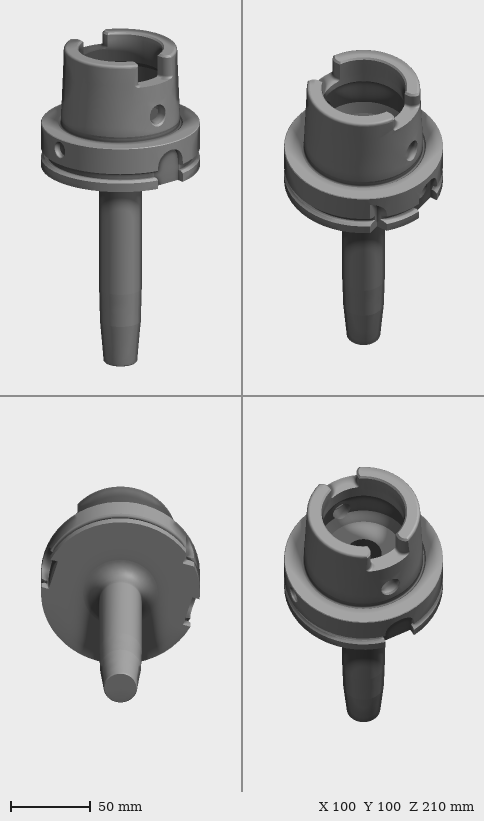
import cadquery as cq
import math


TAPER_HEIGHT = 50.0
TAPER_TOP_RADIUS = 35.7
TAPER_BASE_RADIUS = 37.5
RIM_ROUND = 1.9

RELIEF_HEIGHT = 3.1
RELIEF_DEPTH = 0.2
RELIEF_STEP = 1.3
RELIEF_FILLET = 0.8
FACE_GROOVE_RADIUS = 39.3
FACE_GROOVE_DEPTH = 0.8

FLANGE_RADIUS = 50.0
FLANGE_HEIGHT = 29.0
FLANGE_CHAMFER = 0.5
GROOVE_RADIUS = 46.0
GROOVE_LIP_RADIUS = 48.0
GROOVE_TOP = -17.0
GROOVE_BOTTOM = -23.3
GROOVE_LIP_HEIGHT = 1.3

TIP_Z = TAPER_HEIGHT - 210
NECK_RADIUS = 13.5
NECK_FILLET = 10.0
NOSE_START = TIP_Z + 49.1
NOSE_BREAK = TIP_Z + 27.5
NOSE_BREAK_DIAMETER = 25.8
TIP_DIAMETER = 21.2
TIP_CHAMFER = 0.6

BORE_RADIUS = 26.5
BORE_CHAMFER = 1.0
BORE_LIP_Z = 30.6
CLAMP_RADIUS = 30.0
FLOOR_RADIUS = 25.0
BORE_FLOOR = 5.0
TUBE_RADIUS = 11.3
TUBE_DEPTH = 20.0
CENTRE_HOLE_RADIUS = 1.7
CENTRE_HOLE_DEPTH = 10.0
CENTRE_HOLE_CHAMFER = 0.6

DRIVE_HALF_WIDTH = 9.9
DRIVE_CORNER_RADIUS = 5.7
DRIVE_SHOULDER_X = 32.7
DRIVE_FLOOR_FILLET = 1.7
DRIVE_MOUTH_CHAMFER = 1.3
DRIVE_DEPTH_LEFT = 10.0
DRIVE_DEPTH_RIGHT = 15.0

CROSS_HOLE_RADIUS = 6.3
CROSS_HOLE_Z = 14.7
CROSS_HOLE_CHAMFER = 0.8

KEY_RADIUS = 10.0
KEY_ARCH_Z = -15.0
KEY_FLOOR_X = 44.0
KEY_HOLE_RADIUS = 6.3
KEY_HOLE_DEPTH = 10.0
KEY_HOLE_POINT = 3.8
NOTCH_CENTRE_Y = 41.4
NOTCH_FLOOR_X = 31.5

CHIP_RADIUS = 5.0
CHIP_CHAMFER = 0.5
CHIP_DEPTH = 4.5
CHIP_Z = -7.1
CHIP_VENT_RADIUS = 0.31
CHIP_VENT_DEPTH = 1.0

CLEARANCE = 4.2


def turned_body():
    """Outer shape of the whole holder, revolved about Z."""
    flange_bottom = -FLANGE_HEIGHT
    relief_radius = TAPER_BASE_RADIUS - RELIEF_DEPTH
    arc_offset = NECK_FILLET * (1 - math.sqrt(0.5))
    profile = (
        cq.Workplane("XZ")
        .moveTo(0, TAPER_HEIGHT)
        .lineTo(TAPER_TOP_RADIUS - RIM_ROUND, TAPER_HEIGHT)
        .radiusArc((TAPER_TOP_RADIUS, TAPER_HEIGHT - RIM_ROUND), RIM_ROUND)
        .lineTo(TAPER_BASE_RADIUS, RELIEF_HEIGHT)
        .lineTo(relief_radius, RELIEF_HEIGHT - RELIEF_STEP)
        .lineTo(relief_radius, RELIEF_FILLET - FACE_GROOVE_DEPTH)
        .radiusArc((relief_radius + RELIEF_FILLET, -FACE_GROOVE_DEPTH), -RELIEF_FILLET)
        .lineTo(FACE_GROOVE_RADIUS - FACE_GROOVE_DEPTH, -FACE_GROOVE_DEPTH)
        .lineTo(FACE_GROOVE_RADIUS, 0)
        .lineTo(FLANGE_RADIUS - FLANGE_CHAMFER, 0)
        .lineTo(FLANGE_RADIUS, -FLANGE_CHAMFER)
        .lineTo(FLANGE_RADIUS, GROOVE_TOP)
        .lineTo(GROOVE_LIP_RADIUS, GROOVE_TOP - GROOVE_LIP_HEIGHT)
        .lineTo(GROOVE_RADIUS, GROOVE_TOP - GROOVE_LIP_HEIGHT)
        .lineTo(GROOVE_RADIUS, GROOVE_BOTTOM + GROOVE_LIP_HEIGHT)
        .lineTo(GROOVE_LIP_RADIUS, GROOVE_BOTTOM + GROOVE_LIP_HEIGHT)
        .lineTo(FLANGE_RADIUS, GROOVE_BOTTOM)
        .lineTo(FLANGE_RADIUS, flange_bottom)
        .lineTo(NECK_RADIUS + NECK_FILLET, flange_bottom)
        .threePointArc(
            (NECK_RADIUS + arc_offset, flange_bottom - arc_offset),
            (NECK_RADIUS, flange_bottom - NECK_FILLET),
        )
        .lineTo(NECK_RADIUS, NOSE_START)
        .lineTo(NOSE_BREAK_DIAMETER / 2, NOSE_BREAK)
        .lineTo(TIP_DIAMETER / 2, TIP_Z + TIP_CHAMFER)
        .lineTo(TIP_DIAMETER / 2 - TIP_CHAMFER, TIP_Z)
        .lineTo(0, TIP_Z)
        .close()
    )
    return profile.revolve(360, (0, 0, 0), (0, 1, 0))


def inner_cavity():
    """Clamping bore, coolant tube hole and centre hole, revolved about Z."""
    tube_floor = BORE_FLOOR - TUBE_DEPTH
    profile = (
        cq.Workplane("XZ")
        .moveTo(0, TAPER_HEIGHT)
        .lineTo(BORE_RADIUS + BORE_CHAMFER, TAPER_HEIGHT)
        .lineTo(BORE_RADIUS, TAPER_HEIGHT - BORE_CHAMFER)
        .lineTo(BORE_RADIUS, BORE_LIP_Z)
        .lineTo(CLAMP_RADIUS, BORE_LIP_Z + BORE_RADIUS - CLAMP_RADIUS)
        .lineTo(CLAMP_RADIUS, BORE_FLOOR + CLAMP_RADIUS - FLOOR_RADIUS)
        .lineTo(FLOOR_RADIUS, BORE_FLOOR)
        .lineTo(TUBE_RADIUS, BORE_FLOOR)
        .lineTo(TUBE_RADIUS, tube_floor)
        .lineTo(CENTRE_HOLE_RADIUS + CENTRE_HOLE_CHAMFER, tube_floor)
        .lineTo(CENTRE_HOLE_RADIUS, tube_floor - CENTRE_HOLE_CHAMFER)
        .lineTo(CENTRE_HOLE_RADIUS, tube_floor - CENTRE_HOLE_DEPTH)
        .lineTo(0, tube_floor - CENTRE_HOLE_DEPTH)
        .close()
    )
    return profile.revolve(360, (0, 0, 0), (0, 1, 0))


def drive_slot_outline(floor_z):
    """Outline of a rim slot on the -X side that flares round its outer corners."""
    inner_x = -BORE_RADIUS / 2
    outer_x = -TAPER_BASE_RADIUS - CLEARANCE
    flare_x = DRIVE_CORNER_RADIUS - DRIVE_SHOULDER_X
    flare_y = DRIVE_HALF_WIDTH + DRIVE_CORNER_RADIUS
    arc_middle = DRIVE_CORNER_RADIUS * math.sqrt(0.5)
    return (
        cq.Workplane("XY", origin=(0, 0, floor_z))
        .moveTo(inner_x, -DRIVE_HALF_WIDTH)
        .lineTo(flare_x, -DRIVE_HALF_WIDTH)
        .threePointArc((flare_x - arc_middle, arc_middle - flare_y), (-DRIVE_SHOULDER_X, -flare_y))
        .lineTo(outer_x, -flare_y)
        .lineTo(outer_x, flare_y)
        .lineTo(-DRIVE_SHOULDER_X, flare_y)
        .threePointArc((flare_x - arc_middle, flare_y - arc_middle), (flare_x, DRIVE_HALF_WIDTH))
        .lineTo(inner_x, DRIVE_HALF_WIDTH)
        .close()
    )


def drive_slot(depth):
    """Cutter for a rim slot with a filleted floor and a chamfered mouth."""
    slot = drive_slot_outline(TAPER_HEIGHT - depth).extrude(depth)
    slot = slot.faces("<Z").edges().fillet(DRIVE_FLOOR_FILLET)
    mouth = drive_slot_outline(TAPER_HEIGHT - DRIVE_MOUTH_CHAMFER)
    mouth = mouth.extrude(DRIVE_MOUTH_CHAMFER, taper=-45)
    return slot.union(mouth)


def cross_hole():
    """Cutter for the hole through the -X taper wall, chamfered outside."""
    slope = (TAPER_BASE_RADIUS - TAPER_TOP_RADIUS) / (TAPER_HEIGHT - RELIEF_HEIGHT)
    wall_x = TAPER_BASE_RADIUS - slope * (CROSS_HOLE_Z - RELIEF_HEIGHT)
    chamfer_x = wall_x - CROSS_HOLE_CHAMFER
    outer_x = wall_x + CLEARANCE
    profile = (
        cq.Workplane("XY", origin=(0, 0, CROSS_HOLE_Z))
        .moveTo(-outer_x, 0)
        .lineTo(-outer_x, CROSS_HOLE_RADIUS + outer_x - chamfer_x)
        .lineTo(-chamfer_x, CROSS_HOLE_RADIUS)
        .lineTo(-BORE_RADIUS / 2, CROSS_HOLE_RADIUS)
        .lineTo(-BORE_RADIUS / 2, 0)
        .close()
    )
    return profile.revolve(360, (0, 0, 0), (1, 0, 0))


def flange_slot(floor_x, centre_y):
    """Cutter for an arched slot on the -X side, open at the underside of the flange."""
    foot_z = -FLANGE_HEIGHT
    return (
        cq.Workplane("YZ", origin=(-floor_x, 0, 0))
        .moveTo(centre_y - KEY_RADIUS, foot_z)
        .lineTo(centre_y - KEY_RADIUS, KEY_ARCH_Z)
        .threePointArc((centre_y, KEY_ARCH_Z + KEY_RADIUS), (centre_y + KEY_RADIUS, KEY_ARCH_Z))
        .lineTo(centre_y + KEY_RADIUS, foot_z)
        .close()
        .extrude(floor_x - FLANGE_RADIUS - CLEARANCE)
    )


def key_hole():
    """Drilled hole with a conical bottom in the floor of the -X key slot."""
    hole = (
        cq.Workplane("YZ", origin=(-KEY_FLOOR_X, 0, KEY_ARCH_Z))
        .circle(KEY_HOLE_RADIUS)
        .extrude(KEY_HOLE_DEPTH)
    )
    point = cq.Solid.makeCone(
        KEY_HOLE_RADIUS,
        0,
        KEY_HOLE_POINT,
        pnt=cq.Vector(KEY_HOLE_DEPTH - KEY_FLOOR_X, 0, KEY_ARCH_Z),
        dir=cq.Vector(1, 0, 0),
    )
    return hole.union(cq.Workplane(point))


def chip_hole():
    """Chamfered flat-bottomed hole on the -Y side with a fine vent in its floor."""
    floor_y = CHIP_DEPTH - FLANGE_RADIUS
    mouth_y = CHIP_CHAMFER - FLANGE_RADIUS
    outer_y = -FLANGE_RADIUS - CLEARANCE
    profile = (
        cq.Workplane("XY", origin=(0, 0, CHIP_Z))
        .moveTo(0, outer_y)
        .lineTo(CHIP_RADIUS + mouth_y - outer_y, outer_y)
        .lineTo(CHIP_RADIUS, mouth_y)
        .lineTo(CHIP_RADIUS, floor_y)
        .lineTo(CHIP_VENT_RADIUS, floor_y)
        .lineTo(CHIP_VENT_RADIUS, floor_y + CHIP_VENT_DEPTH)
        .lineTo(0, floor_y + CHIP_VENT_DEPTH)
        .close()
    )
    return profile.revolve(360, (0, 0, 0), (0, 1, 0))


def half_turn(shape):
    """The same cutter on the opposite side of the axis."""
    return shape.rotate((0, 0, 0), (0, 0, 1), 180)


holder = turned_body().cut(inner_cavity())

holder = holder.cut(drive_slot(DRIVE_DEPTH_LEFT))
holder = holder.cut(half_turn(drive_slot(DRIVE_DEPTH_RIGHT)))
holder = holder.cut(cross_hole()).cut(half_turn(cross_hole()))

key_slot = flange_slot(KEY_FLOOR_X, 0)
holder = holder.cut(key_slot).cut(half_turn(key_slot))
holder = holder.cut(flange_slot(NOTCH_FLOOR_X, NOTCH_CENTRE_Y))
holder = holder.cut(key_hole())
holder = holder.cut(chip_hole())

result = holder